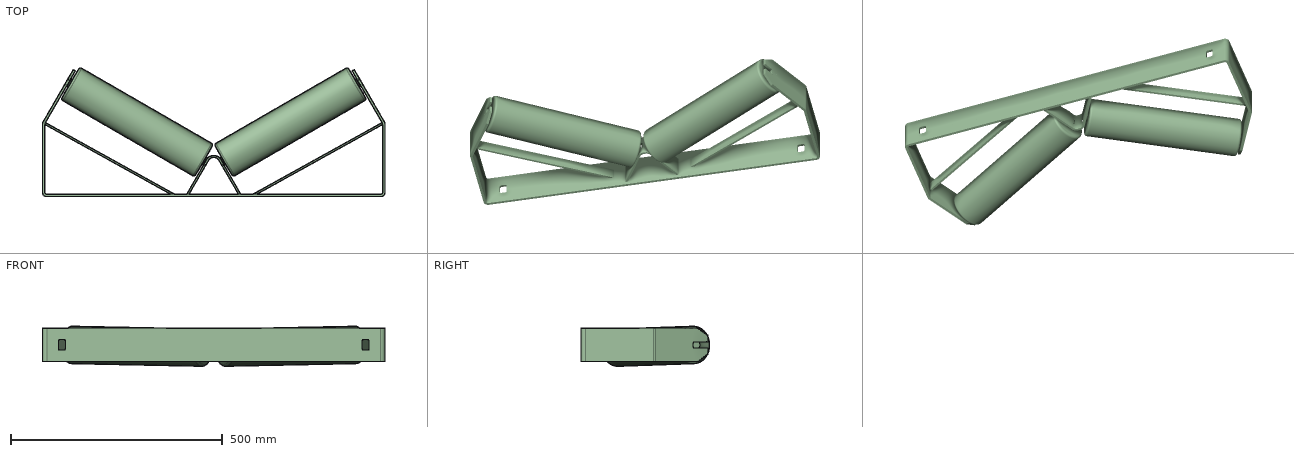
import cadquery as cq
import math

frame_width = 810.0
frame_height = 79.0
frame_thickness = 6.0
side_height = 174.0
arm_length = 146.0
bend_radius = 10.5
trough_angle = 30.0
arm_taper_width = 17.0
arm_taper_length = 27.0

mount_slot_width = 17.0
mount_slot_height = 24.0
mount_slot_corner = 4.0
mount_slot_offset = 359.0

roller_diameter = 89.0
roller_length = 364.5
roller_edge_radius = 5.0
roller_tilt = 1.0
roller_gap = 4.45
axle_diameter = 19.5
axle_flat_width = 14.5
slot_overcut = 1.0
axle_height_on_arm = 114.0

bracket_height = 50.0
bracket_thickness = 5.0
bracket_top = 97.0
bracket_bend_radius = 16.0

strut_thickness = 5.0
strut_height = 25.0
strut_angle = 29.0
strut_foot = 92.0

lean = math.radians(trough_angle)
axis_x, axis_y = math.cos(lean), -math.sin(lean)
arm_x, arm_y = math.sin(lean), math.cos(lean)

half_width = frame_width / 2
bend_point = (-half_width, side_height)
arm_tip = (bend_point[0] + arm_length * arm_x, bend_point[1] + arm_length * arm_y)

axle_start = (
    bend_point[0] + axle_height_on_arm * arm_x,
    bend_point[1] + axle_height_on_arm * arm_y,
    0,
)
tilt = math.radians(roller_tilt)
axle_direction = (axis_x * math.cos(tilt), axis_y * math.cos(tilt), -math.sin(tilt))
axle_plane = cq.Plane(origin=axle_start, xDir=(-arm_x, -arm_y, 0), normal=axle_direction)

roller_start = frame_thickness + roller_gap
bracket_face = roller_start + roller_length + roller_gap
axle_length = bracket_face + bracket_thickness
axle_drop = bracket_face * math.sin(tilt)


def mirrored(points):
    return [(-x, y) for x, y in reversed(points)]


def bent_plate(outer, inner, height, outer_radius, thickness):
    """Strip between two symmetric lines given by their left halves, rounded at every bend."""
    outer_line = outer + mirrored(outer)
    inner_line = inner + mirrored(inner)
    outline = outer_line + inner_line[::-1]
    plate = cq.Workplane("XY").polyline(outline).close().extrude(height / 2, both=True)
    for line, radius in ((outer_line, outer_radius), (inner_line, outer_radius - thickness)):
        for x, y in line[1:-1]:
            plate = plate.edges("|Z").edges(cq.NearestToPointSelector((x, y, 0))).fillet(radius)
    return plate


def flat_limits(start, length):
    """Block between the two flats of an axle end."""
    plane = cq.Workplane(axle_plane).workplane(offset=start)
    return plane.rect(axle_diameter, axle_flat_width).extrude(length)


def axle_section(start, length):
    """Flattened stretch of the axle."""
    plane = cq.Workplane(axle_plane).workplane(offset=start)
    return plane.circle(axle_diameter / 2).extrude(length).intersect(flat_limits(start, length))


def axle_slots(plate_start, plate_thickness):
    """Pair of mirrored slots, open at the top, that fit the flattened axle ends."""
    start = plate_start - slot_overcut
    length = plate_thickness + 2 * slot_overcut
    open_part = (
        cq.Workplane(axle_plane)
        .workplane(offset=start)
        .center(-arm_length / 2, 0)
        .rect(arm_length, axle_flat_width)
        .extrude(length)
    )
    slot = axle_section(start, length).union(open_part)
    return slot, slot.mirror("YZ")


def make_frame():
    inner_bend = side_height - frame_thickness * math.tan(lean / 2)
    outer = [arm_tip, bend_point, (-half_width, 0)]
    inner = [
        (arm_tip[0] + frame_thickness * axis_x, arm_tip[1] + frame_thickness * axis_y),
        (-half_width + frame_thickness, inner_bend),
        (-half_width + frame_thickness, frame_thickness),
    ]
    frame = bent_plate(outer, inner, frame_height, bend_radius, frame_thickness)

    tip_plane = cq.Plane(origin=(*arm_tip, 0), xDir=(arm_x, arm_y, 0), normal=(axis_x, axis_y, 0))
    for side in (1, -1):
        edge = side * frame_height / 2
        taper = (
            cq.Workplane(tip_plane)
            .polyline([(0, edge), (-arm_taper_length, edge), (0, edge - side * arm_taper_width)])
            .close()
            .extrude(frame_thickness)
        )
        frame = frame.cut(taper).cut(taper.mirror("YZ"))

    mount_slots = (
        cq.Workplane("XY")
        .pushPoints([(-mount_slot_offset, frame_thickness / 2), (mount_slot_offset, frame_thickness / 2)])
        .box(mount_slot_width, frame_thickness, mount_slot_height)
        .edges("|Y")
        .fillet(mount_slot_corner)
    )
    frame = frame.cut(mount_slots)
    for slot in axle_slots(0, frame_thickness):
        frame = frame.cut(slot)
    return frame


def make_bracket():
    def leg_point(distance, y):
        """Point at this y on the leg face that lies this far along the axle."""
        x = axle_start[0] + (distance - (y - axle_start[1]) * axis_y) / axis_x
        return (x, y)

    outer = [leg_point(bracket_face, frame_thickness), leg_point(bracket_face, bracket_top)]
    inner = [leg_point(axle_length, frame_thickness), leg_point(axle_length, bracket_top - bracket_thickness)]
    bracket = bent_plate(outer, inner, bracket_height, bracket_bend_radius, bracket_thickness)
    bracket = bracket.translate((0, 0, -axle_drop))
    for slot in axle_slots(bracket_face, bracket_thickness):
        bracket = bracket.cut(slot)
    return bracket


def make_roller():
    drum = (
        cq.Workplane(axle_plane)
        .workplane(offset=roller_start)
        .circle(roller_diameter / 2)
        .extrude(roller_length)
        .edges()
        .fillet(roller_edge_radius)
    )
    round_start = frame_thickness + slot_overcut
    round_length = bracket_face - slot_overcut - round_start
    round_axle = (
        cq.Workplane(axle_plane)
        .workplane(offset=round_start)
        .circle(axle_diameter / 2)
        .extrude(round_length)
    )
    return drum.union(axle_section(0, axle_length)).union(round_axle)


def make_strut(frame):
    slope = math.tan(math.radians(strut_angle))
    drop = strut_thickness / math.cos(math.radians(strut_angle))
    wall = -half_width + frame_thickness
    top = frame_thickness + (-strut_foot - wall) * slope
    strut = (
        cq.Workplane("XY")
        .polyline([
            (-strut_foot, frame_thickness),
            (wall, top),
            (wall, top - drop),
            (-strut_foot - drop / slope, frame_thickness),
        ])
        .close()
        .extrude(strut_height / 2, both=True)
    )
    return strut.cut(frame)


frame = make_frame()
bracket = make_bracket()
rollers = []
struts = []
for body, group in ((make_roller(), rollers), (make_strut(frame), struts)):
    group += [body.solids().val(), body.mirror("YZ").solids().val()]

result = cq.Compound.makeCompound([frame.val(), bracket.val(), *rollers, *struts])